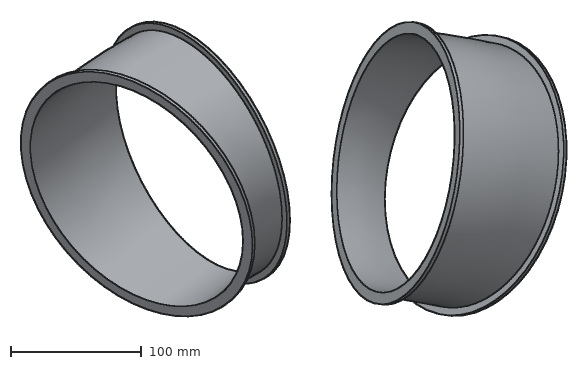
import cadquery as cq

flange_diameter = 217.0
flange_thickness = 3.1
pipe_diameter = 205.1
wall_thickness = 3.1
bend_radius = 270.0
bend_angle = 15.0

bore_diameter = pipe_diameter - 2 * wall_thickness
axis_start = (bend_radius, 0)
axis_end = (bend_radius, 2.2)


def swept_round(diameter):
    """Round bar swept about the bend axis, starting on the XZ plane and heading to +Y."""
    return (
        cq.Workplane("XZ")
        .circle(diameter / 2)
        .revolve(bend_angle, axis_end, axis_start)
    )


def turn_about_bend_axis(body):
    """Carry a body from the start of the bend to its far end."""
    return body.rotate((bend_radius, 0, 0), (bend_radius, 0, 1), -bend_angle)


def flange_disc(direction):
    """Disc on the XZ plane, reaching to +Y (direction 1) or -Y (direction -1)."""
    return cq.Workplane("XZ").circle(flange_diameter / 2).extrude(-direction * flange_thickness)


start_flange = flange_disc(1)
end_flange = turn_about_bend_axis(flange_disc(-1))

body = swept_round(pipe_diameter).union(start_flange).union(end_flange)
result = body.cut(swept_round(bore_diameter))